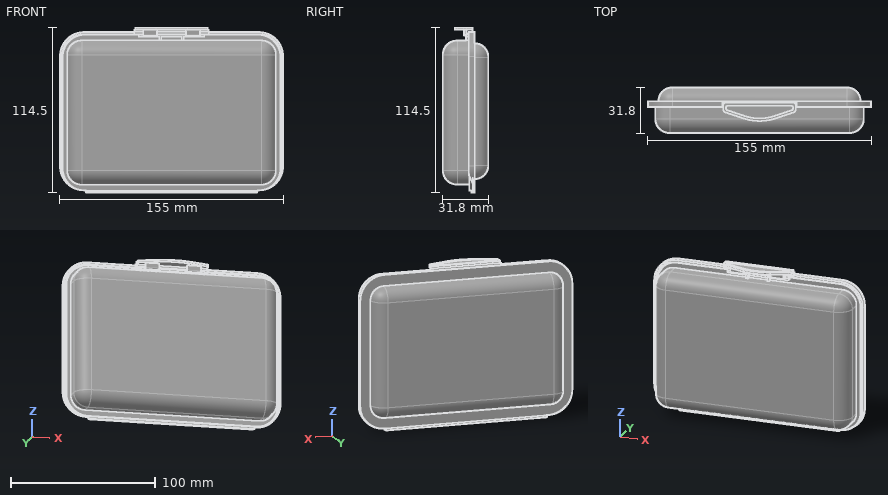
import cadquery as cq
import math


rim_width = 155.0
rim_height = 110.0
rim_radius = 17.0
rim_depth = 4.2
lid_plate = 1.2
seam_y = rim_depth - lid_plate
rim_top = rim_height / 2
rim_bottom = -rim_height / 2

lip_wall = 1.5
lip_slope_start_z = -43.7
lip_slope_end_z = -50.2
relief_wall = 1.1
relief_half_height = 40.6

dome_width = 140.5
dome_height = 94.4
dome_depth = 9.6
dome_radius = 9.6

tray_width = 145.0
tray_height = 100.1
tray_depth = 18.0
tray_radius = 10.0
tray_center_z = -1.0
flange_inset = 2.0
flange_depth = 2.5
flange_front = seam_y - flange_depth
flange_top = rim_top - flange_inset

bar_width = 45.7
bar_height = 1.4
bar_depth = 2.3
bar_end_radius = 1.9
bar_front = flange_front - bar_depth
bar_bottom = flange_top - bar_height
rib_width = 1.4
rib_center_x = 7.9

plate_width = 50.4
plate_thickness = 1.5
plate_rise = 3.0
plate_top = rim_top + plate_rise
plate_bottom = plate_top - plate_thickness
plate_side_front = -3.1
plate_edge_slope = 1 / 3
plate_nose_radius = 34.1
plate_corner_radius = 2.3
plate_back_radius = 1.0
pocket_border = 1.9
pocket_depth = 0.3
pocket_corner_radius = 1.5
web_width = 51.8
web_thickness = 0.5
web_bottom = rim_top - lip_wall
leg_width = 9.8
leg_center_x = 14.9
leg_front = -3.3
leg_back = -1.4
leg_bottom = 52.2
leg_toe_radius = 1.0
hook_height = 1.1

hinge_width = 119.0
hinge_drop = 1.5
hinge_front_leaf = 1.1
hinge_corner_radius = 1.0


def block(x_range, y_range, z_range):
    """Box between two limits along each axis."""
    size = [high - low for low, high in (x_range, y_range, z_range)]
    corner = (x_range[0], y_range[0], z_range[0])
    return cq.Workplane("XY").box(*size, centered=False).translate(corner)


def centered_block(width, y_range, z_range, center_x=0.0):
    """Box of a given width about center_x."""
    return block((center_x - width / 2, center_x + width / 2), y_range, z_range)


def rim_slab(inset, y_range):
    """Rounded slab inset from the sides and top of the rim but flush with its bottom."""
    z_range = (rim_bottom, rim_top - inset)
    slab = centered_block(rim_width - 2 * inset, y_range, z_range)
    return slab.edges("|Y").fillet(rim_radius - inset)


def make_lip():
    lip = rim_slab(0, (0, seam_y)).cut(rim_slab(lip_wall, (0, seam_y)))

    open_bottom = (
        cq.Workplane("YZ")
        .polyline([
            (0, lip_slope_start_z),
            (seam_y, lip_slope_end_z),
            (seam_y, rim_bottom),
            (0, rim_bottom),
        ])
        .close()
        .extrude(rim_width / 2, both=True)
    )
    lip = lip.cut(open_bottom)

    relief_width = rim_width - 2 * relief_wall
    lip = lip.cut(
        centered_block(relief_width, (0, seam_y), (-relief_half_height, relief_half_height))
    )

    return lip.cut(centered_block(web_width, (0, seam_y), (web_bottom, rim_top)))


def make_lid():
    plate = rim_slab(0, (seam_y, rim_depth))
    half_height = dome_height / 2
    dome = centered_block(dome_width, (seam_y, rim_depth + dome_depth), (-half_height, half_height))
    dome = dome.edges("|Y or >Y").fillet(dome_radius)
    return plate.union(dome).union(make_lip())


def make_catch_bar():
    bar = centered_block(bar_width, (bar_front, flange_front), (bar_bottom, flange_top))
    return bar.edges("|Z and <Y").fillet(bar_end_radius)


def make_tray():
    tray_top = tray_center_z + tray_height / 2
    tray_bottom = tray_center_z - tray_height / 2
    shell = centered_block(tray_width, (-tray_depth, seam_y), (tray_bottom, tray_top))
    shell = shell.edges("|Y or <Y").fillet(tray_radius)
    tray = rim_slab(flange_inset, (flange_front, seam_y)).union(shell).union(make_catch_bar())
    for side in (-1, 1):
        rib = centered_block(
            rib_width, (bar_front, flange_front), (tray_top, bar_bottom), side * rib_center_x
        )
        tray = tray.union(rib)
    return tray


def plate_prism(inset, front_radius, back_radius, z_range):
    """Five-sided plate outline, inset all round, with its nose rounded concentrically."""
    half_width = plate_width / 2 - inset
    edge_length_factor = math.hypot(1, plate_edge_slope)
    back_y = seam_y - inset
    nose_y = plate_side_front - plate_edge_slope * plate_width / 2 + inset * edge_length_factor
    side_y = nose_y + plate_edge_slope * half_width
    prism = (
        cq.Workplane("XY", origin=(0, 0, z_range[0]))
        .polyline([
            (-half_width, back_y),
            (half_width, back_y),
            (half_width, side_y),
            (0, nose_y),
            (-half_width, side_y),
        ])
        .close()
        .extrude(z_range[1] - z_range[0])
    )
    prism = prism.edges("|Z and <Y").fillet(plate_nose_radius - inset)
    prism = prism.edges("|Z and >Y").fillet(back_radius)
    nearest_edge = cq.selectors.NearestToPointSelector
    for side in (-1, 1):
        corner = (side * half_width, side_y, sum(z_range) / 2)
        prism = prism.edges(nearest_edge(corner)).fillet(front_radius)
    return prism


def make_leg(center_x):
    leg = centered_block(leg_width, (leg_front, leg_back), (leg_bottom, plate_bottom), center_x)
    leg = leg.edges("|X and <Y and <Z").fillet(leg_toe_radius)
    hook = centered_block(
        leg_width, (leg_back, flange_front), (flange_top, flange_top + hook_height), center_x
    )
    return leg.union(hook)


def make_latch():
    plate = plate_prism(0, plate_corner_radius, plate_back_radius, (plate_bottom, plate_top))
    pocket = plate_prism(
        pocket_border, pocket_corner_radius, pocket_corner_radius, (plate_top - pocket_depth, plate_top)
    )
    web = centered_block(web_width, (seam_y - web_thickness, seam_y), (web_bottom, plate_bottom))
    latch = plate.cut(pocket).union(web)
    for side in (-1, 1):
        latch = latch.union(make_leg(side * leg_center_x))

    return latch.cut(make_catch_bar())


def make_hinge():
    z_range = (rim_bottom - hinge_drop, rim_bottom)
    lid_leaf_width = hinge_width - 2 * hinge_corner_radius
    lid_leaf = centered_block(lid_leaf_width, (seam_y, rim_depth), z_range)
    tray_leaf = centered_block(hinge_width, (seam_y - hinge_front_leaf, seam_y), z_range)
    tray_leaf = tray_leaf.edges("|Y and <Z").fillet(hinge_corner_radius)
    return lid_leaf.union(tray_leaf)


lid = make_lid()
tray = make_tray()
latch = make_latch()
hinge = make_hinge()

result = cq.Compound.makeCompound([body.solids().val() for body in (lid, tray, latch, hinge)])